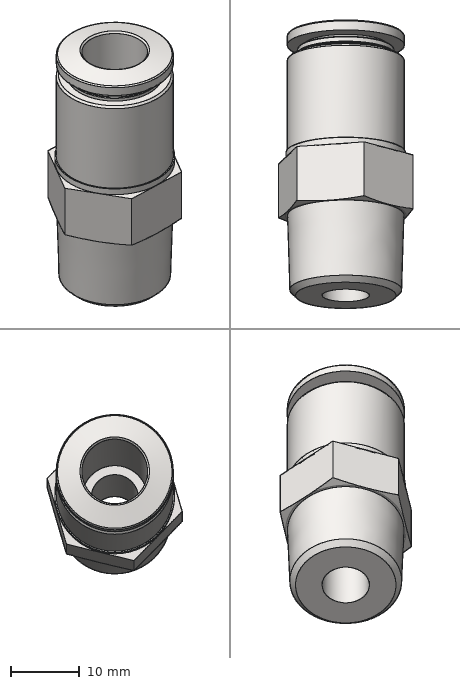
import cadquery as cq
import math

total_height = 39.8

thread_top_diameter = 16.9
thread_tip_diameter = 16.25
thread_tip_chamfer = 0.85

hex_across_flats = 17.47
hex_bottom = 12.0
hex_top = 20.4
hex_corner_rise = 0.3
flange_diameter = 17.4
flange_top = 21.4

body_diameter = 17.0
body_top = 35.6
body_chamfer = 0.3

collar_diameter = 13.95
collar_top = 37.05
collar_chamfer = 0.1
collar_groove_height = 36.18
collar_groove_depth = 0.1

neck_diameter = 11.55
neck_top_diameter = 12.1
cap_diameter = 17.0
cap_bottom = 37.57
cap_rim_height = 38.92
cap_rim_inset = 0.2
cap_dome_bottom = 39.12

tube_bore_diameter = 9.5
tube_bore_chamfer = 0.28
tube_stop_height = 17.9
through_bore_diameter = 6.85


def turned_body():
    """Revolved outside shape, without the hexagon."""
    thread_top_radius = thread_top_diameter / 2
    thread_tip_radius = thread_tip_diameter / 2
    flange_radius = flange_diameter / 2
    body_radius = body_diameter / 2
    collar_radius = collar_diameter / 2
    cap_radius = cap_diameter / 2
    dome_edge_radius = tube_bore_diameter / 2 + tube_bore_chamfer
    profile = [
        (0, 0),
        (thread_tip_radius - thread_tip_chamfer, 0),
        (thread_tip_radius, thread_tip_chamfer),
        (thread_top_radius, hex_bottom),
        (flange_radius, hex_bottom),
        (flange_radius, flange_top),
        (body_radius, flange_top),
        (body_radius, body_top - body_chamfer),
        (body_radius - body_chamfer, body_top),
        (collar_radius, body_top),
        (collar_radius, collar_groove_height - collar_groove_depth),
        (collar_radius - collar_groove_depth, collar_groove_height),
        (collar_radius, collar_groove_height + collar_groove_depth),
        (collar_radius, collar_top - collar_chamfer),
        (collar_radius - collar_chamfer, collar_top),
        (neck_diameter / 2, collar_top),
        (neck_top_diameter / 2, cap_bottom),
        (cap_radius, cap_bottom),
        (cap_radius, cap_rim_height),
        (cap_radius - cap_rim_inset, cap_dome_bottom),
        (dome_edge_radius, total_height),
        (0, total_height),
    ]
    return cq.Workplane("XZ").polyline(profile).close().revolve(360, (0, 0), (0, 1))


def hexagon():
    """Hexagonal prism, corners on the Y axis, with its lower corners turned off by a cone."""
    height = hex_top - hex_bottom
    across_corners = hex_across_flats / math.cos(math.pi / 6)
    prism = (
        cq.Workplane("XY", origin=(0, 0, hex_bottom))
        .polygon(6, across_corners)
        .extrude(height)
        .rotate((0, 0, 0), (0, 0, 1), 30)
    )
    corner_radius = across_corners / 2
    envelope_profile = [
        (0, hex_bottom),
        (hex_across_flats / 2, hex_bottom),
        (corner_radius, hex_bottom + hex_corner_rise),
        (corner_radius, hex_top),
        (0, hex_top),
    ]
    envelope = cq.Workplane("XZ").polyline(envelope_profile).close().revolve(360, (0, 0), (0, 1))
    return prism.intersect(envelope)


def passages():
    """Through bore and the wider, chamfered tube socket above it."""
    bore_radius = tube_bore_diameter / 2
    through_radius = through_bore_diameter / 2
    profile = [
        (0, 0),
        (through_radius, 0),
        (through_radius, tube_stop_height),
        (bore_radius, tube_stop_height),
        (bore_radius, total_height - tube_bore_chamfer),
        (bore_radius + tube_bore_chamfer, total_height),
        (0, total_height),
    ]
    return cq.Workplane("XZ").polyline(profile).close().revolve(360, (0, 0), (0, 1))


result = turned_body().union(hexagon()).cut(passages())